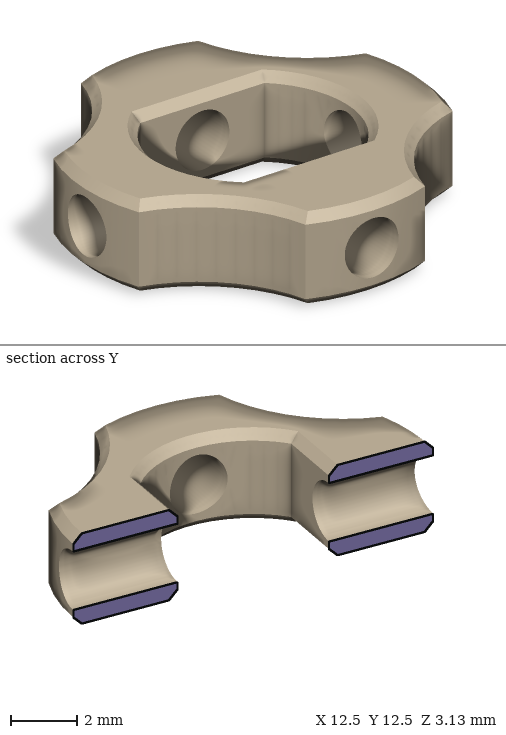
import math

import cadquery as cq

outer_diameter = 12.5
thickness = outer_diameter / 4
bore_diameter = 7.0
bore_width = 5.25
chamfer = 0.3
scallop_radius = 5.0
scallop_centre_distance = 10.0
cross_hole_diameter = 2.0


def ring_blank():
    """Disc with four round scallops cut out on the diagonals."""
    disc = cq.Workplane("XY").circle(outer_diameter / 2).extrude(thickness)
    centre_spacing = scallop_centre_distance * math.sqrt(2)
    scallops = (
        cq.Workplane("XY")
        .rect(centre_spacing, centre_spacing, forConstruction=True)
        .vertices()
        .circle(scallop_radius)
        .extrude(thickness)
    )
    return disc.cut(scallops)


def bore():
    """Round bore with two flats parallel to the YZ plane."""
    cylinder = cq.Workplane("XY").circle(bore_diameter / 2).extrude(thickness)
    flats = cq.Workplane("XY").rect(bore_width, bore_diameter).extrude(thickness)
    return cylinder.intersect(flats)


def cross_hole(plane):
    """Radial hole through the whole ring at mid thickness, normal to the given plane."""
    return (
        cq.Workplane(plane, origin=(0, 0, thickness / 2))
        .circle(cross_hole_diameter / 2)
        .extrude(outer_diameter / 2, both=True)
    )


result = ring_blank().cut(bore()).faces("|Z").edges().chamfer(chamfer)
for hole_plane in ("XZ", "YZ"):
    result = result.cut(cross_hole(hole_plane))